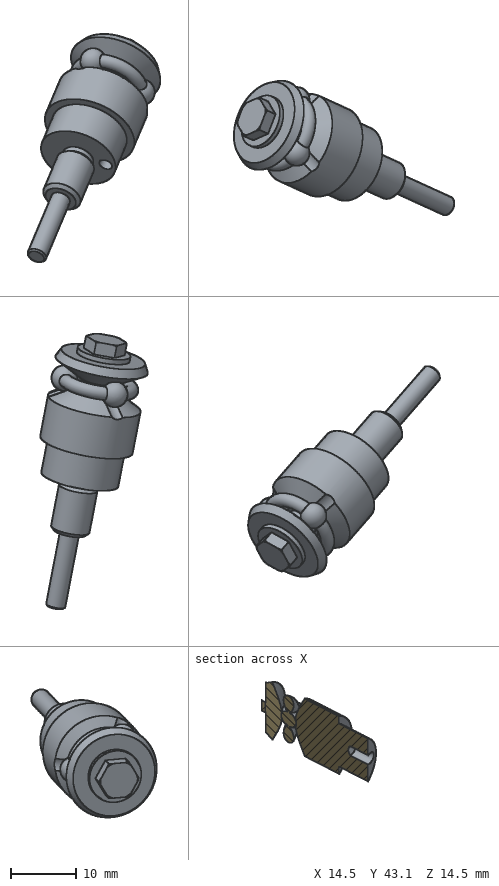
import cadquery as cq
import math


length = 43.1
pin_radius = 1.5
pin_chamfer = 0.25
collar_radius = 3.0
collar_bottom = 12.0
collar_top = 19.8
collar_chamfer = 0.55
neck_radius = collar_radius - collar_chamfer
flange_radius = 4.15
flange_bottom = 40.35
flange_top = 41.1
hex_across_flats = 5.55
hex_across_corners = hex_across_flats / math.cos(math.radians(30))
hex_edge_chamfer = 0.15

ring_height = 35.9
ring_radius = 5.25
ring_wire_radius = 1.05
ball_radius = 2.0
ball_angles = [0, 120, 240]

body_radius = 7.25
groove_half_width = 3.1
cone_slope = math.radians(30)
cone_inner_radius = collar_radius
inner_half_gap = groove_half_width - (body_radius - cone_inner_radius) * math.tan(cone_slope)
hub_bottom = 20.6
hub_step = 26.15
hub_boss_radius = 6.05
cap_top_radius = 6.55
hole_offset = 4.45
hole_radius = 1.05
hole_depth = 3.45
hole_tip_half_angle = math.radians(59)


def turned(profile):
    """Revolve an outline of (radius, Y) points about the Y axis."""
    return cq.Workplane("XY").polyline(profile).close().revolve(360, (0, 0, 0), (0, 1, 0))


def ball():
    """One ball at angle zero on the ring."""
    return cq.Workplane("XY").sphere(ball_radius).translate((ring_radius, ring_height, 0))


def around_axis(shape, angle):
    """Turn a shape about the Y axis, from +X toward +Z."""
    return shape.rotate((0, 0, 0), (0, 1, 0), -angle)


def make_spindle():
    shaft = turned([
        (0, 0),
        (pin_radius - pin_chamfer, 0),
        (pin_radius, pin_chamfer),
        (pin_radius, collar_bottom),
        (collar_radius - collar_chamfer, collar_bottom),
        (collar_radius, collar_bottom + collar_chamfer),
        (collar_radius, collar_top - collar_chamfer),
        (neck_radius, collar_top),
        (neck_radius, flange_bottom),
        (flange_radius, flange_bottom),
        (flange_radius, flange_top),
        (0, flange_top),
    ])
    head = (
        cq.Workplane("XZ", origin=(0, flange_top, 0))
        .polygon(6, hex_across_corners)
        .extrude(flange_top - length)
    )
    corner_radius = hex_across_corners / 2
    corner_trim = turned([
        (0, flange_top),
        (corner_radius, flange_top),
        (corner_radius, length - hex_edge_chamfer),
        (corner_radius - 2 * hex_edge_chamfer, length),
        (0, length),
    ])
    return shaft.union(head.intersect(corner_trim))


def make_ball_ring():
    ring = (
        cq.Workplane("XY")
        .center(ring_radius, ring_height)
        .circle(ring_wire_radius)
        .revolve(360, (-ring_radius, 0, 0), (-ring_radius, 1, 0))
    )
    for angle in ball_angles:
        ring = ring.union(around_axis(ball(), angle))
    return ring


def ball_track():
    """Round channel that runs from a ball outward and down, parallel to the hub cone."""
    direction = cq.Vector(math.cos(cone_slope), -math.sin(cone_slope), 0)
    start = cq.Vector(ring_radius, ring_height, 0)
    channel = cq.Solid.makeCylinder(ball_radius, body_radius, start, direction)
    return cq.Workplane(channel).union(ball())


def blind_hole():
    """Drilled hole with a conical tip, entering the bottom face of the hub."""
    tip_length = hole_radius / math.tan(hole_tip_half_angle)
    drill = turned([
        (0, hub_bottom),
        (hole_radius, hub_bottom),
        (hole_radius, hub_bottom + hole_depth),
        (0, hub_bottom + hole_depth + tip_length),
    ])
    return drill.translate((hole_offset, 0, 0))


def make_hub():
    hub = turned([
        (neck_radius, hub_bottom),
        (hub_boss_radius, hub_bottom),
        (hub_boss_radius, hub_step),
        (body_radius, hub_step),
        (body_radius, ring_height - groove_half_width),
        (cone_inner_radius, ring_height - inner_half_gap),
        (neck_radius, ring_height - inner_half_gap),
    ])
    for angle in ball_angles:
        hub = hub.cut(around_axis(ball_track(), angle))
    return hub.cut(blind_hole())


def make_cap():
    cap = turned([
        (neck_radius, ring_height + inner_half_gap),
        (cone_inner_radius, ring_height + inner_half_gap),
        (body_radius, ring_height + groove_half_width),
        (cap_top_radius, flange_bottom),
        (neck_radius, flange_bottom),
    ])
    for angle in ball_angles:
        cap = cap.cut(around_axis(ball(), angle))
    return cap


spindle = make_spindle()
ball_ring = make_ball_ring()
hub = make_hub()
cap = make_cap()

result = cq.Compound.makeCompound([
    body.solids().val() for body in (spindle, ball_ring, hub, cap)
])